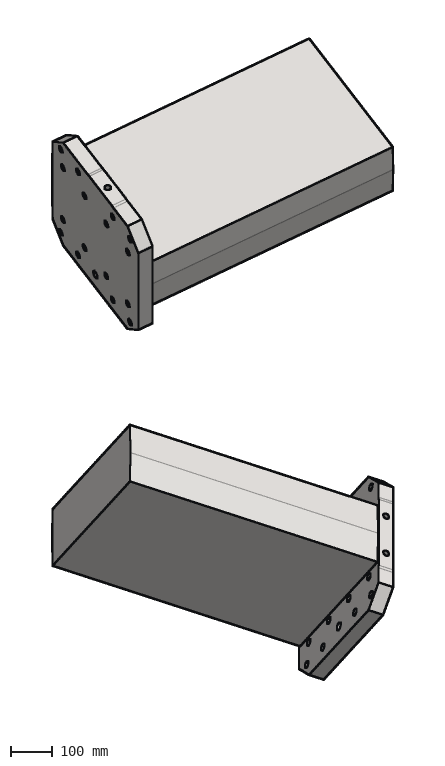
import cadquery as cq
import math

total_length = 714.0
total_width = 398.0
pad_height = 1.0

plate_size = total_width - pad_height
plate_half = plate_size / 2
plate_thickness = 40.0
corner_chamfer = 50.0

body_width = 390.5
body_height = 168.5
body_side_taper = 2.0

pad_blend_radius = 25.0
pad_blend_run = math.sqrt(pad_blend_radius**2 - (pad_blend_radius - pad_height) ** 2)
left_pad_length = 210.0
top_pad_length = 118.5
top_pad_offset = 24.0

bolt_diameter = 17.0
outer_bolt_offset = 160.0
outer_bolt_inner_column = outer_bolt_offset / 2
inner_bolt_row = 100.0
inner_bolt_far_column = 150.0
inner_bolt_near_column = inner_bolt_far_column / 3
locating_diameter = 20.0
locating_drop = 150.0
edge_hole_diameter = 15.0
edge_hole_depth = 28.5
left_edge_hole_offset = 55.0


def extrude_plate_depth(outline):
    """Extrude an XZ outline from the front face to the back of the plate."""
    return outline.extrude(-plate_thickness)


def make_plate():
    outline = cq.Workplane("XZ").rect(plate_size, plate_size)
    return extrude_plate_depth(outline).edges("|Y").chamfer(corner_chamfer)


def make_body():
    """Block whose sides each meet in a shallow ridge at mid-height."""
    ridge_x = body_width / 2
    corner_x = ridge_x - body_side_taper
    top_z = body_height / 2
    outline = cq.Workplane("XZ", origin=(0, plate_thickness, 0)).polyline([
        (-corner_x, -top_z),
        (corner_x, -top_z),
        (ridge_x, 0),
        (corner_x, top_z),
        (-corner_x, top_z),
        (-ridge_x, 0),
    ]).close()
    return outline.extrude(plate_thickness - total_length)


def make_top_pad(length, offset):
    """Pad on the top edge, blending into the plate through concave arcs at its ends."""
    base_half = length / 2
    crest_half = base_half - pad_blend_run
    crest = plate_half + pad_height
    outline = (
        cq.Workplane("XZ")
        .moveTo(offset - base_half, plate_half)
        .radiusArc((offset - crest_half, crest), -pad_blend_radius)
        .lineTo(offset + crest_half, crest)
        .radiusArc((offset + base_half, plate_half), -pad_blend_radius)
        .close()
    )
    return extrude_plate_depth(outline)


def make_left_pad():
    """Pad on the left edge, made by turning a top pad about the Y axis."""
    return make_top_pad(left_pad_length, 0).rotate((0, 0, 0), (0, 1, 0), -90)


def make_front_holes():
    bolt_points = []
    for side in (-1, 1):
        for level in (-1, 1):
            for column in (outer_bolt_inner_column, outer_bolt_offset):
                bolt_points.append((side * column, level * outer_bolt_offset))
            for column in (inner_bolt_near_column, inner_bolt_far_column):
                bolt_points.append((side * column, level * inner_bolt_row))
    bolts = extrude_plate_depth(cq.Workplane("XZ").pushPoints(bolt_points).circle(bolt_diameter / 2))
    locating = cq.Workplane("XZ").center(0, -locating_drop).circle(locating_diameter / 2)
    return bolts.union(extrude_plate_depth(locating))


def make_edge_holes():
    """Blind holes, one in the top pad and two in the left, halfway through the plate thickness."""
    middle = plate_thickness / 2
    crest = plate_half + pad_height
    radius = edge_hole_diameter / 2
    top = cq.Workplane("XY", origin=(top_pad_offset, middle, crest))
    holes = top.circle(radius).extrude(-edge_hole_depth)
    for level in (-1, 1):
        left = cq.Workplane("YZ", origin=(-crest, middle, level * left_edge_hole_offset))
        holes = holes.union(left.circle(radius).extrude(edge_hole_depth))
    return holes


solid = make_plate().union(make_body())
solid = solid.union(make_top_pad(top_pad_length, top_pad_offset)).union(make_left_pad())
result = solid.cut(make_front_holes()).cut(make_edge_holes())